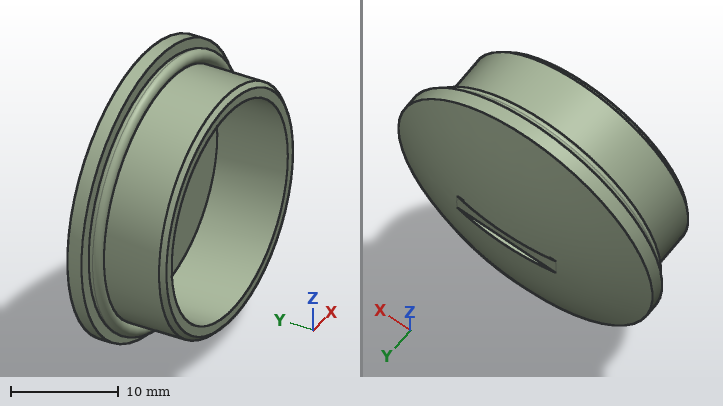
import cadquery as cq

flange_radius = 14.75
flange_thickness = 1.5
dome_height = 3.42
body_radius = 12.5
body_length = 7.5
body_chamfer = 0.5
cavity_radius = 11.0
cavity_depth = body_length
ring_section_radius = 0.7
ring_center_radius = 13.2
slot_width = 2.2
slot_depth = 0.5

dome_apex = flange_thickness + dome_height
dome_sphere_radius = (flange_radius**2 + dome_height**2) / (2 * dome_height)
dome_mid_radius = flange_radius / 2
dome_mid_height = dome_apex - dome_sphere_radius + (dome_sphere_radius**2 - dome_mid_radius**2) ** 0.5


def revolve_about_y(profile):
    return profile.revolve(360, (0, 0, 0), (0, 1, 0))


def make_cap():
    """Flange with a spherical dome on its outer face."""
    profile = (
        cq.Workplane("XY")
        .lineTo(flange_radius, 0)
        .lineTo(flange_radius, flange_thickness)
        .threePointArc((dome_mid_radius, dome_mid_height), (0, dome_apex))
        .close()
    )
    return revolve_about_y(profile)


def make_body():
    """Cylindrical plug, chamfered at its free end."""
    profile = (
        cq.Workplane("XY")
        .lineTo(body_radius, 0)
        .lineTo(body_radius, body_chamfer - body_length)
        .lineTo(body_radius - body_chamfer, -body_length)
        .lineTo(0, -body_length)
        .close()
    )
    return revolve_about_y(profile)


def make_ring():
    """Round sealing ring seated against the flange and the body."""
    section = cq.Workplane("XY").moveTo(ring_center_radius, -ring_section_radius).circle(ring_section_radius)
    return revolve_about_y(section)


def make_corner_fill():
    """Solid backing in the enclosed corner between ring, flange and body."""
    return cq.Workplane("XZ").circle(ring_center_radius).extrude(ring_section_radius)


def make_cavity():
    """Blind bore from the free end of the body."""
    floor_y = cavity_depth - body_length
    return cq.Workplane("XZ", origin=(0, floor_y, 0)).circle(cavity_radius).extrude(cavity_depth)


def make_slot():
    """Shallow straight slot across the crown of the dome, along X."""
    slot = cq.Workplane("XY").box(2 * flange_radius, 2 * slot_depth, slot_width)
    return slot.translate((0, dome_apex, 0))


result = (
    make_cap()
    .union(make_body())
    .union(make_corner_fill())
    .union(make_ring())
    .cut(make_cavity())
    .cut(make_slot())
)